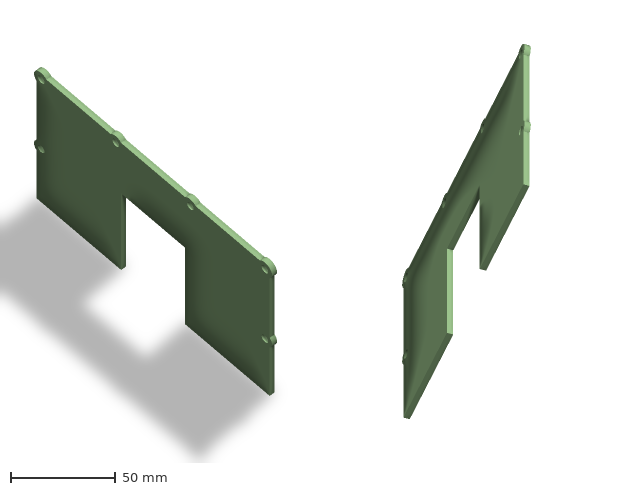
import cadquery as cq

overall_width = 168.8
overall_height = 98.4
thickness = 3.2
lug_radius = 5.0
lug_overhang = 1.7
hole_diameter = 4.7
slot_width = 45.2
slot_height = 58.2
top_lug_count = 4

plate_width = overall_width - 2 * lug_overhang
plate_height = overall_height - lug_overhang
end_lug_x = overall_width / 2 - lug_radius
top_lug_z = overall_height - lug_radius
lug_pitch = 2 * end_lug_x / (top_lug_count - 1)
side_lug_z = top_lug_z - lug_pitch

lug_centres = [(-end_lug_x + i * lug_pitch, top_lug_z) for i in range(top_lug_count)]
lug_centres += [(-end_lug_x, side_lug_z), (end_lug_x, side_lug_z)]


def front_plane():
    """XZ sketch plane on the front face, at Y = -thickness / 2."""
    return cq.Workplane("XZ", origin=(0, -thickness / 2, 0))


def bottom_block(width, height):
    """Block of full thickness rising from Z = 0, centred on X."""
    return front_plane().center(0, height / 2).rect(width, height).extrude(-thickness)


def discs_at_lugs(radius):
    """Full-thickness cylinders at every lug centre."""
    return front_plane().pushPoints(lug_centres).circle(radius).extrude(-thickness)


plate = bottom_block(plate_width, plate_height)
slot = bottom_block(slot_width, slot_height)
lugs = discs_at_lugs(lug_radius)
holes = discs_at_lugs(hole_diameter / 2)

result = plate.union(lugs).cut(slot).cut(holes)